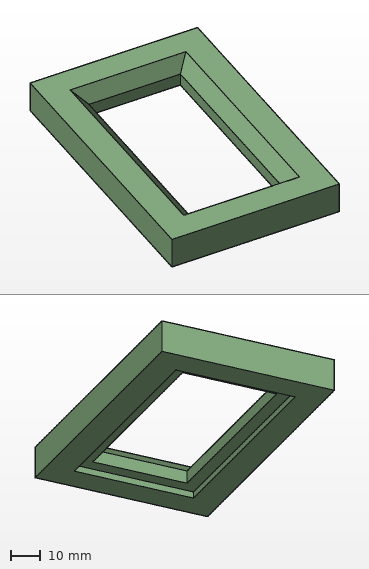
import cadquery as cq

LENGTH = 99.11
WIDTH = 64.13
HEIGHT = 11.66

RIM_WIDTH = 9.91
BEVEL = 0.4 * HEIGHT
THROAT_HEIGHT = BEVEL

outer_opening_length = LENGTH - 2 * RIM_WIDTH
outer_opening_width = WIDTH - 2 * RIM_WIDTH
throat_length = outer_opening_length - 2 * BEVEL
throat_width = outer_opening_width - 2 * BEVEL
bevel_base_z = HEIGHT - BEVEL
rebate_depth = bevel_base_z - THROAT_HEIGHT


def frame_block():
    """Solid block standing on the XY plane, centred on the Z axis."""
    return cq.Workplane("XY").box(LENGTH, WIDTH, HEIGHT, centered=(True, True, False))


def throat():
    """Straight-walled opening through the whole height."""
    return cq.Workplane("XY").rect(throat_length, throat_width).extrude(HEIGHT)


def bevel():
    """Tapered upper part of the opening, widening to the top face."""
    return (
        cq.Workplane("XY", origin=(0, 0, bevel_base_z))
        .rect(throat_length, throat_width)
        .workplane(offset=BEVEL)
        .rect(outer_opening_length, outer_opening_width)
        .loft(ruled=True)
    )


def rebate():
    """Square-shouldered recess around the opening in the bottom face."""
    return cq.Workplane("XY").rect(outer_opening_length, outer_opening_width).extrude(rebate_depth)


result = frame_block().cut(throat()).cut(bevel()).cut(rebate())